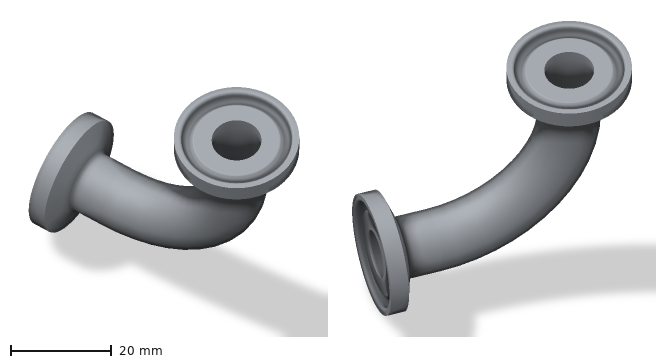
import cadquery as cq
import math

overall_size = 53.8
flange_diameter = 24.95
tube_diameter = 12.7
bore_diameter = 9.9
ferrule_length = 12.7

rim_thickness = 3.75
back_angle = math.radians(20)
neck_fillet = 0.9

lip_inner_radius = 11.5
lip_fillet = 0.55
face_recess = 0.9
face_radius = 8.5
face_fillet = 0.5
groove_radius = 0.85
groove_angle = math.radians(45)

flange_radius = flange_diameter / 2
tube_radius = tube_diameter / 2
bore_radius = bore_diameter / 2
leg_length = overall_size - flange_radius
bend_radius = leg_length - ferrule_length


def arc_point(center, radius, angle):
    """Point on a circle in the (radius, height) profile plane."""
    return (center[0] + radius * math.cos(angle), center[1] + radius * math.sin(angle))


def arc_between(profile, center, radius, start, end):
    """Add an arc that begins at the current profile point."""
    middle = arc_point(center, radius, (start + end) / 2)
    return profile.threePointArc(middle, arc_point(center, radius, end))


def make_ferrule():
    """Clamp ferrule on the Z axis: rim at height 0, tube end at -ferrule_length."""
    quarter = math.pi / 2

    face_arc_center = (face_radius, -face_recess - face_fillet)
    wall_top = arc_point(face_arc_center, face_fillet, quarter - groove_angle)
    wall_outer_radius = lip_inner_radius - lip_fillet
    groove_center_radius = wall_outer_radius - groove_radius
    wall_bottom_radius = groove_center_radius - groove_radius * math.sin(groove_angle)
    wall_drop = (wall_bottom_radius - wall_top[0]) * math.tan(groove_angle)
    wall_bottom = (wall_bottom_radius, wall_top[1] - wall_drop)
    groove_center = (groove_center_radius, wall_bottom[1] + groove_radius * math.cos(groove_angle))

    lip_center = (lip_inner_radius, -lip_fillet)

    neck_center_radius = tube_radius + neck_fillet
    cone_end_radius = neck_center_radius - neck_fillet * math.sin(back_angle)
    cone_end_height = -rim_thickness - (flange_radius - cone_end_radius) * math.tan(back_angle)
    neck_center = (neck_center_radius, cone_end_height - neck_fillet * math.cos(back_angle))

    profile = cq.Workplane("XZ").moveTo(bore_radius, -ferrule_length)
    profile = profile.lineTo(bore_radius, -face_recess).lineTo(face_radius, -face_recess)
    profile = arc_between(profile, face_arc_center, face_fillet, quarter, quarter - groove_angle)
    profile = profile.lineTo(*wall_bottom)
    profile = arc_between(profile, groove_center, groove_radius, -quarter - groove_angle, 0)
    profile = profile.lineTo(wall_outer_radius, -lip_fillet)
    profile = arc_between(profile, lip_center, lip_fillet, math.pi, quarter)
    profile = profile.lineTo(flange_radius, 0).lineTo(flange_radius, -rim_thickness)
    profile = profile.lineTo(cone_end_radius, cone_end_height)
    profile = arc_between(profile, neck_center, neck_fillet, quarter + back_angle, math.pi)
    profile = profile.lineTo(tube_radius, -ferrule_length).close()
    return profile.revolve(360, (0, 0, 0), (0, 1, 0))


def make_bend():
    """Quarter-turn tube from the end of the left leg to the end of the upper leg."""
    ring = cq.Workplane("YZ").circle(tube_radius).circle(bore_radius)
    bend = ring.revolve(90, (0, bend_radius, 0), (-1, bend_radius, 0))
    return bend.translate((-bend_radius, 0, 0))


bend = make_bend()

ferrules = []
for turn in (0, -90):
    ferrule = make_ferrule().translate((0, 0, leg_length))
    ferrules.append(ferrule.rotate((0, 0, 0), (0, 1, 0), turn).val())

result = cq.Compound.makeCompound([bend.val(), *ferrules])